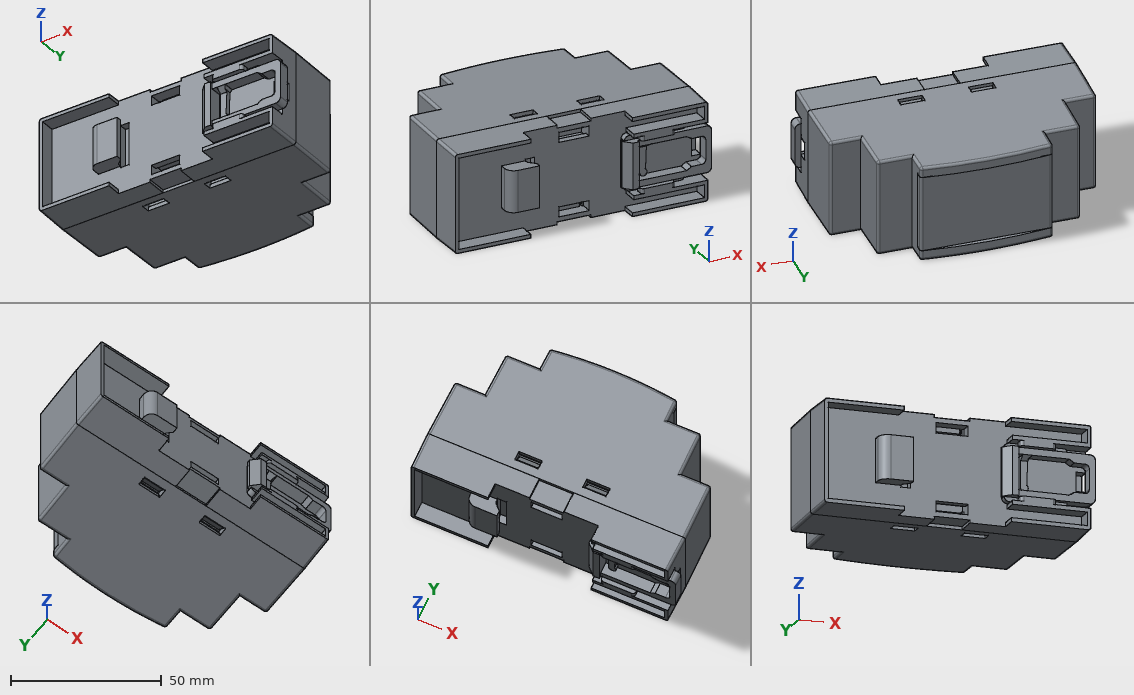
import cadquery as cq
import math


SEAM_HALF_LENGTH = 47.0
SEAM_HALF_WIDTH = 18.3
SEAM_Y = 13.4
EDGE_RADIUS = 1.0
SIDE_DRAFT = 1.0
HOUSING_WIDTH_DRAFT = 0.29

SHOULDER_Y = 34.8
CROWN_Y = 51.1
CROWN_CORNER_Y = 59.2
APEX_Y = 60.7
SHOULDER_HALF_LENGTH = 35.8
CROWN_HALF_LENGTH = 23.3

PANEL_HALF_WIDTH = 14.3
PANEL_BACK_Y = 56.1

SLOT_LENGTH = 8.4
SLOT_OFFSET = 12.4
SLOT_LOW_Y = 16.6
SLOT_HIGH_Y = 19.85
SLOT_GAP = 0.6
SLOT_SIDE_GAP = 0.4
RAMP_TOP_DEPTH = 0.8
SLOT_WALL = 1.5
SLOT_UNDERCUT = 0.6

FLOOR_Y = 5.7
RAIL_HALF_GAP = 18.8
RIM_END_X = 45.5
RIM_SIDE_Z = 16.7
GUIDE_OUTER_Z = 12.0
GUIDE_INNER_Z = 10.55
GUIDE_START_X = 19.3
TAB_START_X = 22.2
TAB_END_X = 34.6
TAB_INNER_Z = 8.7
TAB_THICKNESS = 3.2
TAB_EDGE_RADIUS = 1.1

RELEASE_START_X = 43.5
RELEASE_HALF_WIDTH = 3.4
RELEASE_DEPTH = 3.8

SIDE_RECESS_LENGTH = 12.5
SIDE_RECESS_Z = 17.2

WINDOW_LENGTH = 11.2
WINDOW_INNER_Z = 11.8
WINDOW_OUTER_Z = 15.4
WINDOW_DEPTH = 5.8
WINDOW_WALL = 2.5
WINDOW_UNDERCUT = 1.0
TONGUE_LENGTH = 8.4
TONGUE_Z = 13.7
TONGUE_DEPTH = 4.3
RIB_THICKNESS = 0.6
RIB_Z = 13.1
WEDGE_Z = 14.3

HOOK_BACK_X = -26.85
HOOK_TIP_X = -15.5
HOOK_ROOT_X = -17.9
HOOK_TIP_THICKNESS = 2.0
HOOK_HALF_WIDTH = 7.7
HOOK_RADIUS = 3.4
HOOK_POCKET_START_X = -18.0
HOOK_POCKET_END_X = -14.7
HOOK_POCKET_HALF_WIDTH = 8.2
HOOK_POCKET_DEPTH = 2.9

CLIP_OVERHANG = 1.9
CLIP_END_X = SEAM_HALF_LENGTH + CLIP_OVERHANG
CLIP_HALF_WIDTH = 8.5
CLIP_FACE_Y = 1.5
CLIP_CORNER_RADIUS = 1.9
NOSE_TIP_X = 16.6
NOSE_FACE_Y = 0.5
NOSE_TIP_Y = 3.2
NOSE_UNDERCUT_Y = 4.3
NOSE_BACK_X = 21.6
WING_START_X = 17.4
WING_END_X = 39.5
WING_HALF_WIDTH = 10.2
WING_FACE_Y = 3.3
WING_START_RADIUS = 1.9
WING_END_RADIUS = 1.1
OPENING_HALF_WIDTH = 6.2
OPENING_TAPER_START_X = 39.6
OPENING_TAPER_END_X = 41.4
OPENING_END_HALF_WIDTH = 5.1
OPENING_END_X = 46.7
OPENING_CORNER_RADIUS = 1.5
SPRING_START_X = 23.4
SPRING_END_X = 25.9
SPRING_FACE_Y = 3.8
SPRING_RAMP_Z = 4.7
SPRING_NECK_X = 25.5
SPRING_HEAD_Z = -4.7
SPRING_HEAD_RADIUS = 1.3
SPRING_ROOT_CHAMFER = 0.9


def box(x_range, y_range, z_range):
    """Axis-aligned box between two limits on each axis."""
    (x0, x1), (y0, y1), (z0, z1) = x_range, y_range, z_range
    return cq.Workplane("XY").box(x1 - x0, y1 - y0, z1 - z0, centered=False).translate((x0, y0, z0))


def extrude_xy(points, half_width):
    """Closed XY outline extruded equally to both sides of Z = 0."""
    return cq.Workplane("XY").polyline(points).close().extrude(half_width, both=True)


def extrude_yz(points, x_start, x_end):
    """Closed YZ outline extruded along X."""
    return cq.Workplane("YZ", origin=(x_start, 0, 0)).polyline(points).close().extrude(x_end - x_start)


def with_mirror(shape):
    """The shape together with its mirror image across Z = 0."""
    return shape.union(shape.mirror("XY"))


def drafted(half_size, rise, draft=SIDE_DRAFT):
    """Half size of a drafted wall after the given rise."""
    return half_size - rise * math.tan(math.radians(draft))


BODY_TOP_X = drafted(SEAM_HALF_LENGTH, SHOULDER_Y - SEAM_Y)
SHOULDER_TOP_X = drafted(SHOULDER_HALF_LENGTH, CROWN_Y - SHOULDER_Y)
CROWN_TOP_X = drafted(CROWN_HALF_LENGTH, CROWN_CORNER_Y - CROWN_Y)


def housing_block():
    half_outline = [
        (SEAM_HALF_LENGTH, SEAM_Y),
        (BODY_TOP_X, SHOULDER_Y),
        (SHOULDER_HALF_LENGTH, SHOULDER_Y),
        (SHOULDER_TOP_X, CROWN_Y),
        (CROWN_HALF_LENGTH, CROWN_Y),
        (CROWN_TOP_X, CROWN_CORNER_Y),
    ]
    mirrored = [(-x, y) for x, y in half_outline]
    profile = (
        cq.Workplane("XY")
        .polyline(half_outline)
        .threePointArc((0, APEX_Y), mirrored[-1])
        .polyline(mirrored[::-1], includeCurrent=False)
        .close()
        .extrude(SEAM_HALF_WIDTH, both=True)
    )
    top_half_width = drafted(SEAM_HALF_WIDTH, APEX_Y - SEAM_Y, HOUSING_WIDTH_DRAFT)
    side_draft = extrude_yz(
        [
            (SEAM_Y, -SEAM_HALF_WIDTH),
            (APEX_Y, -top_half_width),
            (APEX_Y, top_half_width),
            (SEAM_Y, SEAM_HALF_WIDTH),
        ],
        -SEAM_HALF_LENGTH,
        SEAM_HALF_LENGTH,
    )
    block = profile.intersect(side_draft)
    corners = [(BODY_TOP_X, SHOULDER_Y), (SHOULDER_TOP_X, CROWN_Y), (CROWN_TOP_X, CROWN_CORNER_Y)]
    tolerance = 0.01

    def is_rounded(edge):
        centre = edge.Center()
        on_corner = any(
            abs(abs(centre.x) - x) < tolerance and abs(centre.y - y) < tolerance for x, y in corners
        )
        on_side = abs(centre.z) > SEAM_HALF_WIDTH / 2 and centre.y > SEAM_Y + tolerance
        return on_corner or on_side

    rounded_edges = [edge for edge in block.edges().vals() if is_rounded(edge)]
    return block.newObject(rounded_edges).fillet(EDGE_RADIUS)


def latch_slot(x_centre):
    """Slot in the +Z side with a 45 degree latch ramp at its bottom."""
    ramp_low_y = SLOT_LOW_Y + SLOT_GAP
    surface_z = SEAM_HALF_WIDTH
    ramp_top_z = surface_z - RAMP_TOP_DEPTH
    bottom_z = ramp_top_z - (SLOT_HIGH_Y - ramp_low_y)
    half_length = SLOT_LENGTH / 2
    slot = box(
        (x_centre - half_length, x_centre + half_length),
        (SLOT_LOW_Y, SLOT_HIGH_Y),
        (bottom_z, surface_z),
    )
    ramp = extrude_yz(
        [(ramp_low_y, bottom_z), (ramp_low_y, ramp_top_z), (SLOT_HIGH_Y, bottom_z)],
        x_centre - half_length + SLOT_SIDE_GAP,
        x_centre + half_length - SLOT_SIDE_GAP,
    )
    undercut = box(
        (x_centre - half_length, x_centre + half_length),
        (SLOT_HIGH_Y, SLOT_HIGH_Y + SLOT_UNDERCUT),
        (bottom_z, surface_z - SLOT_WALL),
    )
    return slot.cut(ramp).union(undercut)


def panel_seat():
    return box(
        (-SEAM_HALF_LENGTH, SEAM_HALF_LENGTH),
        (PANEL_BACK_Y, APEX_Y),
        (-PANEL_HALF_WIDTH, PANEL_HALF_WIDTH),
    )


def make_housing():
    body = housing_block().cut(panel_seat())
    for x_centre in (-SLOT_OFFSET, SLOT_OFFSET):
        body = body.cut(with_mirror(latch_slot(x_centre)))
    return body


def make_front_panel():
    back_x = drafted(CROWN_HALF_LENGTH, PANEL_BACK_Y - CROWN_Y)
    outline = [
        (-back_x, PANEL_BACK_Y),
        (back_x, PANEL_BACK_Y),
        (CROWN_TOP_X, CROWN_CORNER_Y),
        (-CROWN_TOP_X, CROWN_CORNER_Y),
    ]
    return extrude_xy(outline, PANEL_HALF_WIDTH).edges("|Z and >Y").fillet(EDGE_RADIUS)


def base_block():
    block = (
        cq.Workplane("XZ", origin=(0, SEAM_Y, 0))
        .rect(2 * SEAM_HALF_LENGTH, 2 * SEAM_HALF_WIDTH)
        .extrude(SEAM_Y, taper=SIDE_DRAFT)
    )
    return block.edges("not(#Y)").fillet(EDGE_RADIUS)


def rail_recess():
    """Everything removed in front of the recess floor, leaving rims and guide walls."""
    depth = (0, FLOOR_Y)
    rail = box((-RAIL_HALF_GAP, RAIL_HALF_GAP), depth, (-SEAM_HALF_WIDTH, SEAM_HALF_WIDTH))
    fixed_side = box((-RIM_END_X, 0), depth, (-RIM_SIDE_Z, RIM_SIDE_Z))
    guide_entry = box((0, GUIDE_START_X), depth, (-RIM_SIDE_Z, RIM_SIDE_Z))
    clip_channel = box((0, SEAM_HALF_LENGTH), depth, (-GUIDE_INNER_Z, GUIDE_INNER_Z))
    side_pockets = with_mirror(box((0, RIM_END_X), depth, (GUIDE_OUTER_Z, RIM_SIDE_Z)))
    return rail.union(fixed_side).union(guide_entry).union(clip_channel).union(side_pockets)


def retaining_tabs():
    tab = box((TAB_START_X, TAB_END_X), (0, TAB_THICKNESS), (TAB_INNER_Z, GUIDE_INNER_Z))
    return with_mirror(tab.edges("|Z and <Y").fillet(TAB_EDGE_RADIUS))


def fixed_hook():
    undercut = HOOK_TIP_X - HOOK_ROOT_X
    outline = [
        (HOOK_BACK_X, 0),
        (HOOK_TIP_X, 0),
        (HOOK_TIP_X, HOOK_TIP_THICKNESS),
        (HOOK_ROOT_X, HOOK_TIP_THICKNESS + undercut),
        (HOOK_ROOT_X, FLOOR_Y),
        (HOOK_BACK_X, FLOOR_Y),
    ]
    return extrude_xy(outline, HOOK_HALF_WIDTH).edges("|Z and <X and <Y").fillet(HOOK_RADIUS)


def hook_pocket():
    return box(
        (HOOK_POCKET_START_X, HOOK_POCKET_END_X),
        (FLOOR_Y, FLOOR_Y + HOOK_POCKET_DEPTH),
        (-HOOK_POCKET_HALF_WIDTH, HOOK_POCKET_HALF_WIDTH),
    )


def release_notch():
    return box(
        (RELEASE_START_X, SEAM_HALF_LENGTH),
        (FLOOR_Y, FLOOR_Y + RELEASE_DEPTH),
        (-RELEASE_HALF_WIDTH, RELEASE_HALF_WIDTH),
    )


def side_recess():
    half_length = SIDE_RECESS_LENGTH / 2
    return box((-half_length, half_length), (FLOOR_Y, SEAM_Y), (SIDE_RECESS_Z, SEAM_HALF_WIDTH))


def latch_window():
    """Window in the recess floor with a latch tongue, two end ribs and two wedges inside."""
    half_window = WINDOW_LENGTH / 2
    half_tongue = TONGUE_LENGTH / 2
    bottom_y = FLOOR_Y + WINDOW_DEPTH
    raised = (FLOOR_Y + TONGUE_DEPTH, bottom_y)
    window = box((-half_window, half_window), (FLOOR_Y, bottom_y), (WINDOW_INNER_Z, WINDOW_OUTER_Z))
    tongue = box((-half_tongue, half_tongue), raised, (TONGUE_Z, WINDOW_OUTER_Z))
    wedge = extrude_yz(
        [(raised[0], WEDGE_Z), (bottom_y, WEDGE_Z), (bottom_y, WINDOW_OUTER_Z)],
        -half_window,
        half_window,
    )
    window = window.cut(tongue).cut(wedge)
    for x_start in (-half_window, half_window - RIB_THICKNESS):
        rib = box((x_start, x_start + RIB_THICKNESS), raised, (RIB_Z, WINDOW_OUTER_Z))
        window = window.cut(rib)
    undercut = box(
        (-half_window, half_window),
        (FLOOR_Y + WINDOW_WALL, bottom_y),
        (WINDOW_INNER_Z - WINDOW_UNDERCUT, WINDOW_INNER_Z),
    )
    return window.union(undercut)


def make_base():
    body = base_block().cut(rail_recess())
    body = body.union(retaining_tabs()).union(fixed_hook())
    body = body.cut(hook_pocket()).cut(release_notch())
    return body.cut(with_mirror(side_recess())).cut(with_mirror(latch_window()))


def clip_plate():
    plate = box(
        (NOSE_BACK_X, CLIP_END_X),
        (CLIP_FACE_Y, FLOOR_Y),
        (-CLIP_HALF_WIDTH, CLIP_HALF_WIDTH),
    )
    return plate.edges("|Y and >X").fillet(CLIP_CORNER_RADIUS)


def clip_wings():
    wings = box((WING_START_X, WING_END_X), (WING_FACE_Y, FLOOR_Y), (-WING_HALF_WIDTH, WING_HALF_WIDTH))
    wings = wings.edges("|Y and <X").fillet(WING_START_RADIUS)
    return wings.edges("|Y and >X").fillet(WING_END_RADIUS)


def clip_nose():
    lead_in = NOSE_TIP_Y - NOSE_FACE_Y
    outline = [
        (NOSE_TIP_X, NOSE_UNDERCUT_Y),
        (NOSE_TIP_X, NOSE_TIP_Y),
        (NOSE_TIP_X + lead_in, NOSE_FACE_Y),
        (NOSE_BACK_X, NOSE_FACE_Y),
        (NOSE_BACK_X, FLOOR_Y),
        (WING_START_X, FLOOR_Y),
        (WING_START_X, NOSE_UNDERCUT_Y),
    ]
    return extrude_xy(outline, CLIP_HALF_WIDTH)


def clip_opening():
    upper_outline = [
        (NOSE_BACK_X, OPENING_HALF_WIDTH),
        (OPENING_TAPER_START_X, OPENING_HALF_WIDTH),
        (OPENING_TAPER_END_X, OPENING_END_HALF_WIDTH),
        (OPENING_END_X, OPENING_END_HALF_WIDTH),
    ]
    lower_outline = [(x, -z) for x, z in reversed(upper_outline)]
    opening = (
        cq.Workplane("XZ")
        .polyline(upper_outline + lower_outline)
        .close()
        .extrude(-FLOOR_Y)
    )
    return opening.edges("|Y and >X").fillet(OPENING_CORNER_RADIUS)


def clip_spring():
    """Tapered spring finger with a round head, sunk below the clip face behind a short ramp."""
    finger_outline = [
        (SPRING_START_X, OPENING_HALF_WIDTH),
        (SPRING_END_X + SPRING_ROOT_CHAMFER, OPENING_HALF_WIDTH),
        (SPRING_END_X, OPENING_HALF_WIDTH - SPRING_ROOT_CHAMFER),
        (SPRING_NECK_X, SPRING_HEAD_Z),
        (SPRING_START_X, SPRING_HEAD_Z),
    ]
    plane = cq.Workplane("XZ", origin=(0, FLOOR_Y, 0))
    thickness = FLOOR_Y - CLIP_FACE_Y
    finger = plane.polyline(finger_outline).close().extrude(thickness)
    head = (
        plane.center(SPRING_START_X + SPRING_HEAD_RADIUS, SPRING_HEAD_Z)
        .circle(SPRING_HEAD_RADIUS)
        .extrude(thickness)
    )
    sunken_front = extrude_yz(
        [
            (CLIP_FACE_Y, OPENING_HALF_WIDTH),
            (SPRING_FACE_Y, SPRING_RAMP_Z),
            (SPRING_FACE_Y, -OPENING_HALF_WIDTH),
            (CLIP_FACE_Y, -OPENING_HALF_WIDTH),
        ],
        SPRING_START_X,
        OPENING_END_X,
    )
    return finger.union(head).cut(sunken_front)


def make_clip():
    return clip_plate().union(clip_wings()).union(clip_nose()).cut(clip_opening()).union(clip_spring())


housing = make_housing()
front_panel = make_front_panel()
base = make_base()
clip = make_clip()

result = cq.Compound.makeCompound([housing.val(), front_panel.val(), base.val(), clip.val()])